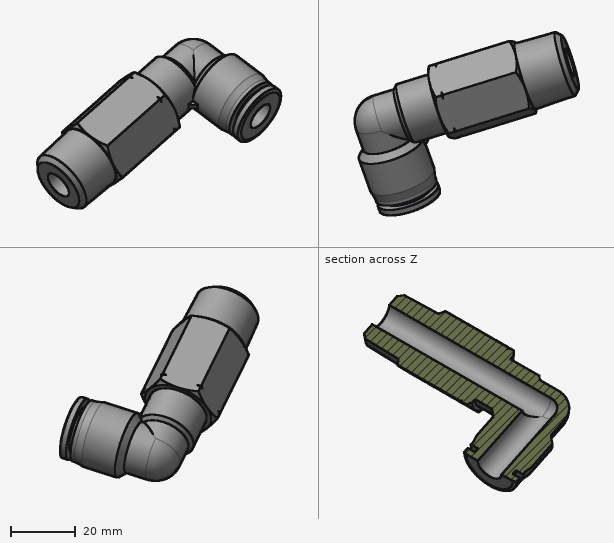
import cadquery as cq
import math


elbow_radius = 8.3
bore_radius = 4.5

socket_radius = 10.5
socket_neck_end = 7.1
socket_shoulder = socket_neck_end + socket_radius - elbow_radius
socket_taper_start = 20.4
socket_taper_end = 23.0
socket_end = 24.3
release_neck_radius = 7.3
release_flange_radius = 9.9
release_flange_start = 25.85
release_end = 28.2
release_bevel_length = 0.4
release_bevel_height = 1.15

stem_end = 72 - socket_radius
sleeve_radius = 9.5
sleeve_start = 6.8
sleeve_bevel = sleeve_radius - elbow_radius
hex_start = 18.9
hex_end = 47.0
hex_flats = 22.0
hex_corner_radius = hex_flats / math.sqrt(3)
hex_bevel_angle = 30
mark_depth = 21.95
mark_width = 0.5
mark_cut = 0.5
thread_root_radius = 10.7
thread_tip_radius = 10.4
thread_bevel = 1.6

web_leg = 2.0
web_thickness = 2.0


def stem_revolve(points):
    """Revolve (radius, depth) points about the stem axis."""
    outline = [(radius, -depth) for radius, depth in points]
    return cq.Workplane("XY").polyline(outline).close().revolve(360, (0, 0, 0), (0, 1, 0))


def make_socket():
    return (
        cq.Workplane("XY")
        .polyline([
            (0, 0),
            (0, elbow_radius),
            (socket_neck_end, elbow_radius),
            (socket_shoulder, socket_radius),
            (socket_taper_start, socket_radius),
            (socket_taper_end, release_flange_radius),
            (socket_end, release_flange_radius),
            (socket_end, release_neck_radius),
            (release_flange_start, release_neck_radius),
            (release_flange_start, release_flange_radius),
            (release_end - release_bevel_length, release_flange_radius),
            (release_end, release_flange_radius - release_bevel_height),
            (release_end, 0),
        ])
        .close()
        .revolve(360, (0, 0, 0), (1, 0, 0))
    )


def make_stem():
    """Elbow leg, sleeve and tapered male thread, with the hexagon left out."""
    return stem_revolve([
        (0, 0),
        (elbow_radius, 0),
        (elbow_radius, sleeve_start),
        (sleeve_radius, sleeve_start + sleeve_bevel),
        (sleeve_radius, hex_end),
        (thread_root_radius, hex_end),
        (thread_tip_radius, stem_end - thread_bevel),
        (thread_tip_radius - thread_bevel, stem_end),
        (0, stem_end),
    ])


def make_marking_groove():
    """Fine V groove that nicks only the corners of the hexagon."""
    groove_root = hex_corner_radius - mark_cut
    return stem_revolve([
        (hex_corner_radius, mark_depth - mark_width / 2),
        (groove_root, mark_depth),
        (hex_corner_radius, mark_depth + mark_width / 2),
    ])


def make_hexagon():
    """Hexagon with its corners turned down to the inscribed circle at both ends."""
    prism = (
        cq.Workplane("XZ", origin=(0, -hex_start, 0))
        .polygon(6, 2 * hex_corner_radius)
        .extrude(hex_end - hex_start)
    )
    inner_radius = hex_flats / 2
    bevel_depth = (hex_corner_radius - inner_radius) * math.tan(math.radians(hex_bevel_angle))
    turned_blank = stem_revolve([
        (0, hex_start),
        (inner_radius, hex_start),
        (hex_corner_radius, hex_start + bevel_depth),
        (hex_corner_radius, hex_end - bevel_depth),
        (inner_radius, hex_end),
        (0, hex_end),
    ])
    return prism.intersect(turned_blank).cut(make_marking_groove())


def make_web():
    """45 degree web reaching into both the sleeve and the socket."""
    outer_x = sleeve_radius + web_leg
    outer_y = -socket_radius - web_leg
    return (
        cq.Workplane("XY")
        .polyline([
            (0, 0),
            (outer_x, 0),
            (outer_x, -socket_radius),
            (sleeve_radius, outer_y),
            (0, outer_y),
        ])
        .close()
        .extrude(web_thickness / 2, both=True)
    )


def make_bore():
    """Bore from the thread tip, round the elbow and out of the socket."""
    stem_bore = cq.Workplane("XZ").circle(bore_radius).extrude(stem_end)
    socket_bore = cq.Workplane("YZ").circle(bore_radius).extrude(release_end)
    return stem_bore.union(socket_bore).union(cq.Workplane("XY").sphere(bore_radius))


result = (
    cq.Workplane("XY")
    .sphere(elbow_radius)
    .union(make_socket())
    .union(make_stem())
    .union(make_hexagon())
    .union(make_web())
    .cut(make_bore())
)